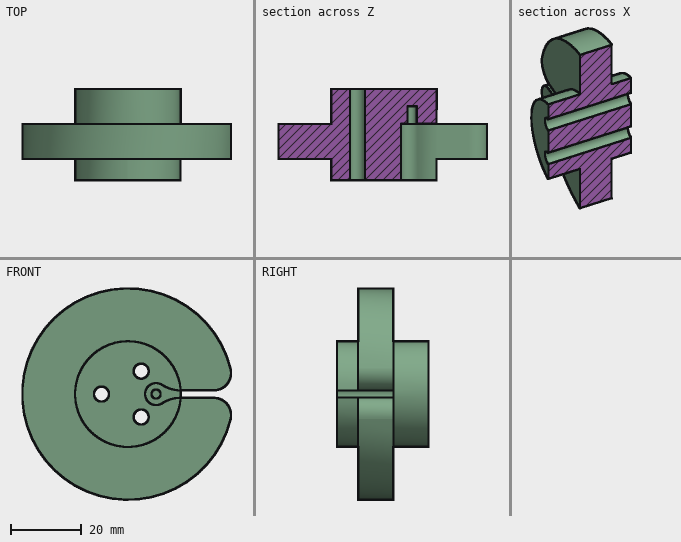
import cadquery as cq
import math

disc_radius = 30.0
disc_thickness = 10.0
boss_radius = disc_radius / 2
front_boss_length = 6.0
rear_boss_length = 9.95

bolt_hole_diameter = 4.2
bolt_circle_radius = 7.5
bolt_count = 3

slot_half_width = 1.0
mouth_radius = 5.0
flare_radius = 10.0
pocket_radius = 3.1
pocket_x = 8.0
pilot_diameter = 2.6
pilot_depth = 5.0

disc_front = front_boss_length
disc_rear = disc_front + disc_thickness
total_length = disc_rear + rear_boss_length


def cylinder(radius, start, end, x=0.0, z=0.0):
    """Cylinder along +Y between two Y positions."""
    axis = cq.Vector(0, 1, 0)
    base = cq.Vector(x, start, z)
    return cq.Workplane(cq.Solid.makeCylinder(radius, end - start, base, axis))


def point_on_circle(center, toward, radius):
    """Point at the given radius from center, in the direction of another point."""
    dx = toward[0] - center[0]
    dz = toward[1] - center[1]
    scale = radius / math.hypot(dx, dz)
    return (center[0] + dx * scale, center[1] + dz * scale)


def mirrored(point):
    return (point[0], -point[1])


def slot_cutter():
    """Keyhole slot: round end, flared throat, parallel sides and rounded mouth."""
    pocket_center = (pocket_x, 0.0)

    flare_z = slot_half_width + flare_radius
    flare_x = pocket_x + math.sqrt((pocket_radius + flare_radius) ** 2 - flare_z ** 2)
    flare_center = (flare_x, flare_z)
    throat = point_on_circle(pocket_center, flare_center, pocket_radius)
    flare_end = (flare_x, slot_half_width)
    throat_middle = ((throat[0] + flare_end[0]) / 2, (throat[1] + flare_end[1]) / 2)
    flare_middle = point_on_circle(flare_center, throat_middle, flare_radius)

    mouth_z = slot_half_width + mouth_radius
    mouth_x = math.sqrt((disc_radius - mouth_radius) ** 2 - mouth_z ** 2)
    mouth_center = (mouth_x, mouth_z)
    mouth_start = (mouth_x, slot_half_width)
    rim = point_on_circle((0.0, 0.0), mouth_center, disc_radius)
    mouth_chord = ((mouth_start[0] + rim[0]) / 2, (mouth_start[1] + rim[1]) / 2)
    mouth_middle = point_on_circle(mouth_center, mouth_chord, mouth_radius)

    outline = (
        cq.Workplane("XZ")
        .moveTo(*mirrored(throat))
        .threePointArc((pocket_x - pocket_radius, 0.0), throat)
        .threePointArc(flare_middle, flare_end)
        .lineTo(*mouth_start)
        .threePointArc(mouth_middle, rim)
        .threePointArc((disc_radius, 0.0), mirrored(rim))
        .threePointArc(mirrored(mouth_middle), mirrored(mouth_start))
        .lineTo(*mirrored(flare_end))
        .threePointArc(mirrored(flare_middle), mirrored(throat))
        .close()
    )
    return outline.extrude(-disc_rear)


body = cylinder(disc_radius, disc_front, disc_rear)
body = body.union(cylinder(boss_radius, 0, total_length))

body = body.cut(slot_cutter())

body = body.cut(cylinder(pilot_diameter / 2, disc_rear, disc_rear + pilot_depth, pocket_x))

for index in range(bolt_count):
    angle = math.pi + index * 2 * math.pi / bolt_count
    hole_x = bolt_circle_radius * math.cos(angle)
    hole_z = bolt_circle_radius * math.sin(angle)
    body = body.cut(cylinder(bolt_hole_diameter / 2, 0, total_length, hole_x, hole_z))

result = body